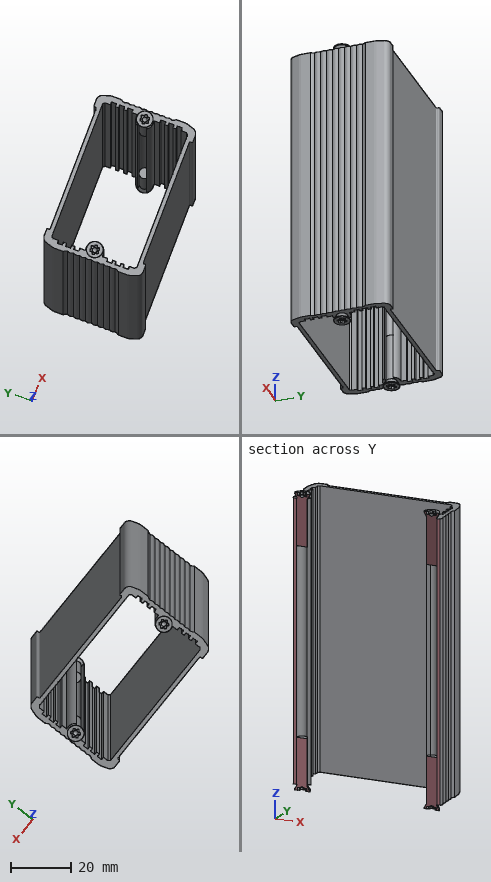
import cadquery as cq

TOTAL_HEIGHT = 104.0
WIDTH = 55.0
DEPTH = 35.0

HEAD_PROTRUSION = 2.0
HOUSING_HEIGHT = TOTAL_HEIGHT - 2 * HEAD_PROTRUSION
HALF_WIDTH = WIDTH / 2
HALF_DEPTH = DEPTH / 2
PANEL_SETBACK = 1.0
PANEL_THICKNESS = 1.5
PAD_STEP_X = 22.0
PAD_STEP_RADIUS = 0.3
CORNER_ARC_START_X = 24.9
CORNER_ARC_END_X = 26.6
CORNER_ARC_END_Y = 16.1
CORNER_ARC_RADIUS = 2.3
SIDE_PAD_TOP_Y = 12.9
SIDE_PAD_BEVEL_Y = 13.6
SIDE_PAD_BEVEL = 0.1
SIDE_PAD_BOTTOM_Y = 9.8

RIB_COUNT = 8
RIB_SPAN = 17.0
RIB_PITCH = RIB_SPAN / RIB_COUNT
RIB_CROWN_WIDTH = RIB_PITCH / 2
RIB_CROWN_HEIGHT = 0.12
RIB_FLANK_HEIGHT = 0.16
GROOVE_DEPTH = 0.6

CAVITY_HALF_WIDTH = 24.5
CAVITY_CHAMFER = 0.6
SLOT_DEPTH = 1.0
SLOT_WIDTH = 1.8
SLOT_PITCH = 2.9
SLOT_MULTIPLES = (2, 3, 4)

SCREW_X = 23.6
CHANNEL_RADIUS = 3.0
CHANNEL_GAP = 3.1

SHANK_DIAMETER = 3.7
SHANK_LENGTH = 16.6
HEAD_DIAMETER = 5.5
HEAD_RIM = 0.4
HEAD_CONE_HEIGHT = HEAD_PROTRUSION - HEAD_RIM
LOBE_COUNT = 6
LOBE_RADIUS = 0.4
RECESS_DIAMETER = 3.3
RECESS_DEPTH = 0.9
RECESS_TIP_RADIUS = 0.8
RECESS_TIP_DEPTH = 0.5

PANEL_OUTER_Y = HALF_DEPTH - PANEL_SETBACK
CAVITY_HALF_DEPTH = PANEL_OUTER_Y - PANEL_THICKNESS
GROOVE_X = HALF_WIDTH - GROOVE_DEPTH
RIB_SHOULDER_X = GROOVE_X + RIB_FLANK_HEIGHT
RIB_TIP_X = RIB_SHOULDER_X + RIB_CROWN_HEIGHT
OUTER_GROOVE_Y = RIB_SPAN / 2
SIDE_PAD_FOOT_Y = OUTER_GROOVE_Y + (RIB_PITCH - RIB_CROWN_WIDTH) / 2
Z_BOTTOM = -HOUSING_HEIGHT / 2
SIDES = (-1, 1)


def base_plane():
    return cq.Workplane("XY").workplane(offset=Z_BOTTOM)


def make_outer_block():
    """Solid block with the outer outline, one quarter mirrored twice."""
    quarter = (
        base_plane()
        .lineTo(0, PANEL_OUTER_Y)
        .lineTo(PAD_STEP_X - PAD_STEP_RADIUS, PANEL_OUTER_Y)
        .tangentArcPoint((PAD_STEP_X, PANEL_OUTER_Y + PAD_STEP_RADIUS), relative=False)
        .lineTo(PAD_STEP_X, HALF_DEPTH - PAD_STEP_RADIUS)
        .tangentArcPoint((PAD_STEP_X + PAD_STEP_RADIUS, HALF_DEPTH), relative=False)
        .lineTo(CORNER_ARC_START_X, HALF_DEPTH)
        .radiusArc((CORNER_ARC_END_X, CORNER_ARC_END_Y), CORNER_ARC_RADIUS)
        .lineTo(HALF_WIDTH - SIDE_PAD_BEVEL, SIDE_PAD_BEVEL_Y)
        .lineTo(HALF_WIDTH, SIDE_PAD_TOP_Y)
        .lineTo(HALF_WIDTH, SIDE_PAD_BOTTOM_Y)
        .lineTo(RIB_SHOULDER_X, SIDE_PAD_FOOT_Y)
        .lineTo(GROOVE_X, OUTER_GROOVE_Y)
        .lineTo(GROOVE_X, 0)
        .close()
        .extrude(HOUSING_HEIGHT)
    )
    half = quarter.union(quarter.mirror("XZ"))
    return half.union(half.mirror("YZ")).clean()


def make_rib(side, y):
    """Rib with a rounded crown, rooted in the side wall."""
    root_low = y - RIB_PITCH / 2
    root_high = y + RIB_PITCH / 2
    crown_low = y - RIB_CROWN_WIDTH / 2
    crown_high = y + RIB_CROWN_WIDTH / 2
    return (
        base_plane()
        .moveTo(side * CAVITY_HALF_WIDTH, root_low)
        .lineTo(side * GROOVE_X, root_low)
        .lineTo(side * RIB_SHOULDER_X, crown_low)
        .threePointArc((side * RIB_TIP_X, y), (side * RIB_SHOULDER_X, crown_high))
        .lineTo(side * GROOVE_X, root_high)
        .lineTo(side * CAVITY_HALF_WIDTH, root_high)
        .close()
        .extrude(HOUSING_HEIGHT)
    )


def make_cavity():
    cavity = (
        base_plane()
        .rect(2 * CAVITY_HALF_WIDTH, 2 * CAVITY_HALF_DEPTH)
        .extrude(HOUSING_HEIGHT)
        .edges("|Z")
        .chamfer(CAVITY_CHAMFER)
    )
    slot_centres = [
        (0, side * multiple * SLOT_PITCH) for side in SIDES for multiple in SLOT_MULTIPLES
    ]
    slots = (
        base_plane()
        .pushPoints(slot_centres)
        .rect(2 * (CAVITY_HALF_WIDTH + SLOT_DEPTH), SLOT_WIDTH)
        .extrude(HOUSING_HEIGHT)
    )
    return cavity.union(slots)


def make_housing():
    housing = make_outer_block()
    for side in SIDES:
        for index in range(RIB_COUNT):
            y = (index - (RIB_COUNT - 1) / 2) * RIB_PITCH
            housing = housing.union(make_rib(side, y))
    housing = housing.cut(make_cavity())

    screw_axes = [(side * SCREW_X, 0) for side in SIDES]
    channels = base_plane().pushPoints(screw_axes).circle(CHANNEL_RADIUS).extrude(HOUSING_HEIGHT)
    bores = base_plane().pushPoints(screw_axes).circle(SHANK_DIAMETER / 2).extrude(HOUSING_HEIGHT)
    root_length = CAVITY_HALF_WIDTH - SCREW_X
    root_centres = [(side * (SCREW_X + root_length / 2), 0) for side in SIDES]
    roots = (
        base_plane()
        .pushPoints(root_centres)
        .rect(root_length, 2 * CHANNEL_RADIUS)
        .extrude(HOUSING_HEIGHT)
    )
    gaps = base_plane().rect(2 * SCREW_X, CHANNEL_GAP).extrude(HOUSING_HEIGHT)
    return housing.union(channels).union(roots).cut(bores).cut(gaps)


def make_recess(top_z):
    """Six-lobed drive recess with a conical floor."""
    lobe_circle = RECESS_DIAMETER / 2 - LOBE_RADIUS
    floor_z = top_z - RECESS_DEPTH
    recess = cq.Workplane("XY").workplane(offset=floor_z).circle(lobe_circle).extrude(RECESS_DEPTH)
    lobes = (
        cq.Workplane("XY")
        .workplane(offset=floor_z)
        .polarArray(lobe_circle, 0, 360, LOBE_COUNT)
        .circle(LOBE_RADIUS)
        .extrude(RECESS_DEPTH)
    )
    tip_z = floor_z - RECESS_TIP_DEPTH
    tip = cq.Workplane(cq.Solid.makeCone(0, RECESS_TIP_RADIUS, RECESS_TIP_DEPTH)).translate((0, 0, tip_z))
    return recess.union(lobes).union(tip)


def make_screw():
    """Countersunk screw on the Z axis, at the height of the upper end face."""
    top_z = TOTAL_HEIGHT / 2
    rim_z = top_z - HEAD_RIM
    shank_radius = SHANK_DIAMETER / 2
    head_radius = HEAD_DIAMETER / 2
    tip_z = -Z_BOTTOM - SHANK_LENGTH
    body = (
        cq.Workplane("XZ")
        .polyline([
            (0, tip_z),
            (shank_radius, tip_z),
            (shank_radius, rim_z - HEAD_CONE_HEIGHT),
            (head_radius, rim_z),
            (head_radius, top_z),
            (0, top_z),
        ])
        .close()
        .revolve(360, (0, 0, 0), (0, 1, 0))
    )
    return body.cut(make_recess(top_z))


housing = make_housing()

upper_screw = make_screw()
lower_screw = upper_screw.rotate((0, 0, 0), (1, 0, 0), 180)
screws = [
    screw.translate((side * SCREW_X, 0, 0)).val()
    for screw in (upper_screw, lower_screw)
    for side in SIDES
]

result = cq.Compound.makeCompound([housing.val(), *screws])